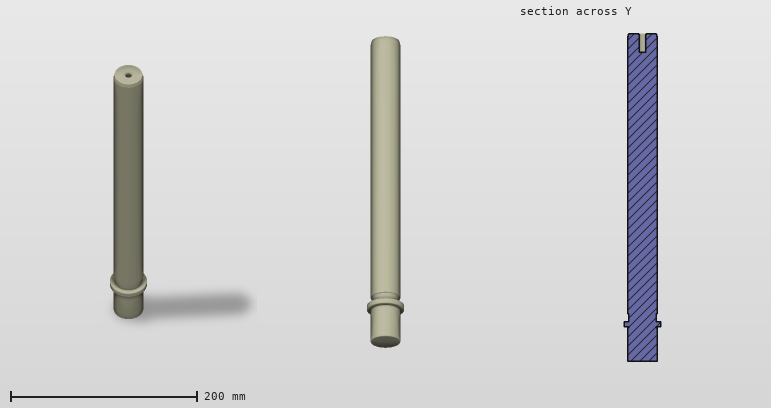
import cadquery as cq

body_radius = 16.0
body_length = 300.0

spigot_length = 37.0
spigot_fillet = 1.0
relief_chamfer = 1.0

flange_radius = 20.0
flange_thickness = 6.0
flange_fillet = 1.0
flange_top = spigot_length + flange_thickness

neck_radius = 15.0
neck_length = 9.0
neck_chamfer = body_radius - neck_radius
neck_top = flange_top + neck_length
total_length = neck_top + body_length

lead_in_depth = 1.0
lead_in_length = 4.0

hole_radius = 3.35
hole_depth = 20.0
countersink_radius = 4.4
countersink_depth = countersink_radius - hole_radius


def revolve_about_z(profile):
    """Close a (radius, height) outline and revolve it about the Z axis."""
    return profile.close().revolve(360, (0, 0), (0, 1))


def make_shaft():
    """Turned column with spigot, flange and neck."""
    profile = (
        cq.Workplane("XZ")
        .lineTo(body_radius - spigot_fillet, 0)
        .tangentArcPoint((body_radius, spigot_fillet), relative=False)
        .lineTo(body_radius, spigot_length - relief_chamfer)
        .lineTo(body_radius - relief_chamfer, spigot_length)
        .lineTo(flange_radius - flange_fillet, spigot_length)
        .tangentArcPoint((flange_radius, spigot_length + flange_fillet), relative=False)
        .lineTo(flange_radius, flange_top - flange_fillet)
        .tangentArcPoint((flange_radius - flange_fillet, flange_top), relative=False)
        .lineTo(neck_radius, flange_top)
        .lineTo(neck_radius, neck_top - neck_chamfer)
        .lineTo(body_radius, neck_top)
        .lineTo(body_radius, total_length - lead_in_length)
        .lineTo(body_radius - lead_in_depth, total_length)
        .lineTo(0, total_length)
    )
    return revolve_about_z(profile)


def make_hole():
    """Flat-bottomed hole with a 45 degree countersink at the top face."""
    hole_bottom = total_length - hole_depth
    profile = (
        cq.Workplane("XZ")
        .moveTo(0, total_length)
        .lineTo(countersink_radius, total_length)
        .lineTo(hole_radius, total_length - countersink_depth)
        .lineTo(hole_radius, hole_bottom)
        .lineTo(0, hole_bottom)
    )
    return revolve_about_z(profile)


result = make_shaft().cut(make_hole())